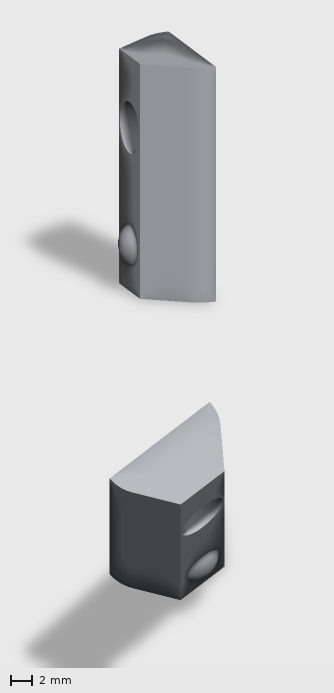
import cadquery as cq
import math

length = 23.0
width = 12.2
block_depth = 6.3
nose_width = 5.34

edge_depth = 0.14
flank_angle = math.radians(35)
shoulder_depth = 2.48

hole_diameter = 5.0
hole_from_top = 7.0
ball_from_bottom = 4.5
ball_protrusion = 1.0
ball_rim_radius = 1.95


def make_block():
    """Extrude the symmetric profile along the length."""
    half_width = width / 2
    half_nose = nose_width / 2
    arc_radius = (shoulder_depth - edge_depth) / math.sin(flank_angle)

    def arc_point(angle):
        x = half_width - arc_radius * (1 - math.cos(angle))
        y = -edge_depth - arc_radius * math.sin(angle)
        return x, y

    shoulder_x, shoulder_y = arc_point(flank_angle)
    middle_x, middle_y = arc_point(flank_angle / 2)
    return (
        cq.Workplane("XY")
        .moveTo(-half_width, 0)
        .lineTo(half_width, 0)
        .lineTo(half_width, -edge_depth)
        .threePointArc((middle_x, middle_y), (shoulder_x, shoulder_y))
        .lineTo(half_nose, -block_depth)
        .lineTo(-half_nose, -block_depth)
        .lineTo(-shoulder_x, shoulder_y)
        .threePointArc((-middle_x, middle_y), (-half_width, -edge_depth))
        .close()
        .extrude(length)
    )


def make_hole():
    """Cylinder through the full depth of the block."""
    return (
        cq.Workplane("XZ")
        .center(0, length - hole_from_top)
        .circle(hole_diameter / 2)
        .extrude(block_depth)
    )


def make_ball():
    """Sphere whose cap stands proud of the nose face."""
    radius = (ball_rim_radius**2 + ball_protrusion**2) / (2 * ball_protrusion)
    centre_y = -block_depth - ball_protrusion + radius
    return cq.Workplane("XY").sphere(radius).translate((0, centre_y, ball_from_bottom))


result = make_block().cut(make_hole()).union(make_ball())